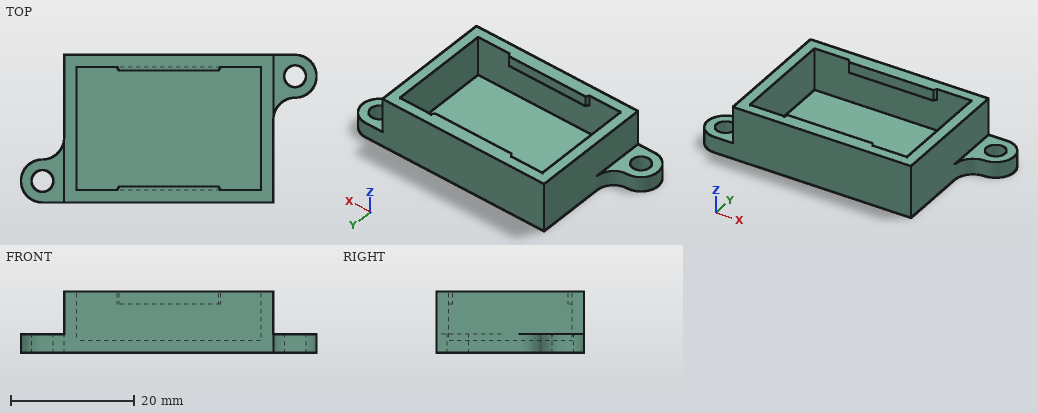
import cadquery as cq

total_length = 48.0
box_width = 24.0
box_height = 10.0
ear_radius = 3.5
ear_height = 3.0
hole_diameter = 3.5
box_length = total_length - 4 * ear_radius

wall = 2.0
floor = 2.0
cavity_length = box_length - 2 * wall
cavity_width = box_width - 2 * wall

ridge_base_length = 16.8
ridge_end_taper = 0.35
ridge_depth = 0.6
ridge_height = 2.0


def make_box():
    """Rectangular tray standing on Z = 0, centred on the Z axis."""
    outer = cq.Workplane("XY").box(box_length, box_width, box_height, centered=(True, True, False))
    cavity = (
        cq.Workplane("XY")
        .workplane(offset=floor)
        .rect(cavity_length, cavity_width)
        .extrude(box_height - floor)
    )
    return outer.cut(cavity)


def make_ear():
    """Left ear: round end flush with the front face, blended into the side wall by a concave arc."""
    side_x = -box_length / 2
    front_y = -box_width / 2
    center_x = side_x - ear_radius
    center_y = front_y + ear_radius
    ear_back_y = front_y + 2 * ear_radius
    ear = (
        cq.Workplane("XY")
        .moveTo(side_x, front_y)
        .lineTo(center_x, front_y)
        .threePointArc((center_x - ear_radius, center_y), (center_x, ear_back_y))
        .radiusArc((side_x, ear_back_y + ear_radius), -ear_radius)
        .close()
        .extrude(ear_height)
    )
    hole = cq.Workplane("XY").center(center_x, center_y).circle(hole_diameter / 2).extrude(ear_height)
    return ear.cut(hole)


def make_ridge():
    """Ridge on the front cavity wall, with tapered ends."""
    base_y = -cavity_width / 2
    tip_y = base_y + ridge_depth
    half_base = ridge_base_length / 2
    half_tip = half_base - ridge_end_taper
    return (
        cq.Workplane("XY")
        .workplane(offset=box_height - ridge_height)
        .polyline([(-half_base, base_y), (half_base, base_y), (half_tip, tip_y), (-half_tip, tip_y)])
        .close()
        .extrude(ridge_height)
    )


result = make_box()
for feature in (make_ear(), make_ridge()):
    for angle in (0, 180):
        result = result.union(feature.rotate((0, 0, 0), (0, 0, 1), angle))